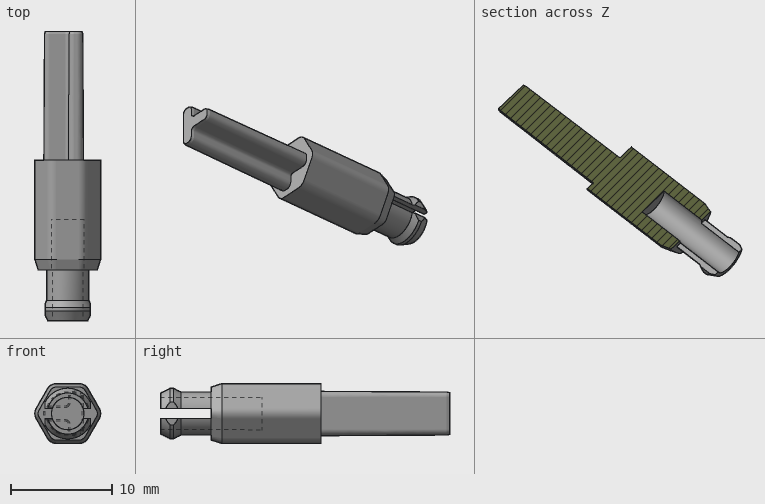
import cadquery as cq
import math


collar_length = 10.85
collar_across_flats = 5.92
collar_flats_turn = 30.0
collar_corner_radius = 1.03
collar_taper_length = 1.04
collar_taper_angle = 18.0

shaft_length = 12.7
shaft_draft_angle = 0.3
shaft_bevel_length = 0.3
shaft_bevel_angle = 15.0
tee_thickness = 1.5
tee_bar_height = 4.4
tee_bar_outer_x = 1.565
tee_stem_tip_x = -2.37
tee_tip_radius = 0.6
tee_inner_radius = 0.3

pin_length = 5.0
pin_radius = 2.14
pin_tip_radius = 2.03
lip_radius = 2.5
lip_start = 3.0
lip_crest_start = 3.7
lip_crest_end = 4.05
lip_width = 4.46
bore_radius = 1.6
bore_depth = 10.0
slot_width = 0.95


def cross_plane(y):
    """Plane across the part at y: local x is +X, local y is +Z, and its normal is -Y."""
    return cq.Workplane("XZ", origin=(0, y, 0))


def hexagon(y):
    """Rounded hexagon across the part at y, with flats facing +Z and -Z."""
    corner_circle_radius = collar_across_flats / 2 / math.cos(math.pi / 6)
    outline = cq.Sketch().regularPolygon(corner_circle_radius, 6, angle=collar_flats_turn)
    outline = outline.vertices().fillet(collar_corner_radius)
    return cross_plane(y).placeSketch(outline)


def make_collar():
    straight_length = collar_length - collar_taper_length
    body = hexagon(collar_length).extrude(straight_length)
    nose = hexagon(collar_taper_length).extrude(collar_taper_length, taper=collar_taper_angle)
    return body.union(nose)


def tee_section():
    """T profile with rounded tips: the bar stands along Z and the stem points to -X."""
    bar_inner_x = tee_bar_outer_x - tee_thickness
    bar_center_x = (tee_bar_outer_x + bar_inner_x) / 2
    stem_length = bar_inner_x - tee_stem_tip_x
    stem_center_x = (bar_inner_x + tee_stem_tip_x) / 2
    root_corners = cq.selectors.BoxSelector(
        (bar_inner_x - tee_inner_radius, -tee_thickness, -1),
        (bar_inner_x + tee_inner_radius, tee_thickness, 1),
    )
    outline = cq.Sketch().push([(bar_center_x, 0)]).rect(tee_thickness, tee_bar_height)
    outline = outline.reset().push([(stem_center_x, 0)]).rect(stem_length, tee_thickness)
    outline = outline.reset().clean()
    outline = outline.vertices(root_corners).fillet(tee_inner_radius)
    outline = outline.reset().vertices("<X or >X or <Y or >Y").fillet(tee_tip_radius)
    return outline.reset()


def make_shaft():
    """Drafted T-section shaft with a bevelled free end."""
    drafted_length = shaft_length - shaft_bevel_length
    shaft = cross_plane(collar_length).placeSketch(tee_section())
    shaft = shaft.extrude(-drafted_length, taper=shaft_draft_angle)
    end_outline = shaft.faces(">Y").wires().toPending()
    return end_outline.extrude(-shaft_bevel_length, taper=shaft_bevel_angle)


def make_pin():
    """Solid pin with a snap lip that is cut flat on the +X and -X sides."""
    half_profile = [
        (0, 0),
        (pin_radius, 0),
        (pin_radius, -lip_start),
        (lip_radius, -lip_crest_start),
        (lip_radius, -lip_crest_end),
        (pin_tip_radius, -pin_length),
        (0, -pin_length),
    ]
    pin = cq.Workplane("XY").polyline(half_profile).close().revolve(360, (0, 0), (0, 1))
    width_limit = cross_plane(0).rect(lip_width, 2 * lip_radius).extrude(pin_length)
    return pin.intersect(width_limit)


def make_bore():
    return cross_plane(bore_depth - pin_length).circle(bore_radius).extrude(bore_depth)


def make_slot():
    """Slot that splits the pin into an upper and a lower half."""
    return cross_plane(0).rect(lip_width, slot_width).extrude(pin_length)


pin = make_pin().cut(make_slot())
result = make_collar().union(make_shaft()).union(pin).cut(make_bore())